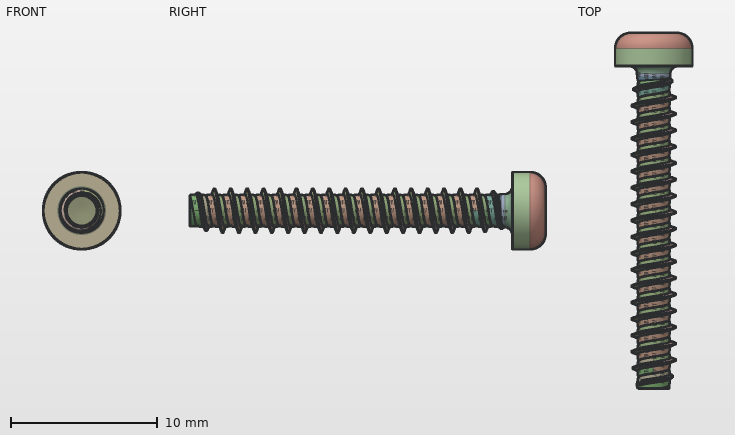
import cadquery as cq
import math

total_length = 24.3
head_diameter = 5.3
head_height = 2.3
crown_radius = 1.1
seat_chamfer = 0.05
shank_radius = 1.15
shank_length = 0.73
neck_fillet = 0.49
core_radius = 1.07
tip_radius = 1.02
tip_chamfer = 0.05
tip_dish_depth = 0.1

crest_radius = 1.5
crest_width = 0.05
blade_root_width = 0.32
foot_radius = 1.13
foot_edge_height = 0.005
foot_head_side = 0.49
foot_tip_side = 0.6
buried_radius = 0.97
thread_length = 20.15
thread_turns = 18
thread_start = -1.0

run_out_end = (-18.5, 1.17)
run_out_begin = (-17.25, crest_radius)
run_in_begin = (-1, crest_radius)
run_in_end = (0.5, 1.2)
crest_path = [run_out_end, run_out_begin, run_in_begin, run_in_end]

head_radius = head_diameter / 2
tip_y = head_height - total_length
pitch = thread_length / thread_turns


def arc_middle(center, radius, x_side, y_side):
    """Point halfway along a quarter circle in the given quadrant."""
    offset = radius * math.sqrt(0.5)
    return (center[0] + x_side * offset, center[1] + y_side * offset)


def turned_body():
    """Domed head, filleted neck and core, turned about the Y axis."""
    crown_center = (head_radius - crown_radius, head_height - crown_radius)
    fillet_center = (shank_radius + neck_fillet, -neck_fillet)
    outline = (
        cq.Workplane("XY")
        .moveTo(0, tip_y)
        .lineTo(core_radius, tip_y)
        .lineTo(core_radius, thread_start)
        .lineTo(shank_radius, -shank_length)
        .lineTo(shank_radius, -neck_fillet)
        .threePointArc(arc_middle(fillet_center, neck_fillet, -1, 1), (fillet_center[0], 0))
        .lineTo(head_radius - seat_chamfer, 0)
        .lineTo(head_radius, seat_chamfer)
        .lineTo(head_radius, crown_center[1])
        .threePointArc(arc_middle(crown_center, crown_radius, 1, 1), (crown_center[0], head_height))
        .lineTo(0, head_height)
        .close()
    )
    return outline.revolve(360, (0, 0, 0), (0, 1, 0))


def helix(first, last, offset):
    """Helix about the Z axis between two (turn, radius) stations, lifted by offset."""
    first_turn, start_radius = first
    last_turn, end_radius = last
    height = (last_turn - first_turn) * pitch
    if start_radius == end_radius:
        wire = cq.Wire.makeHelix(pitch, height, start_radius)
    else:
        taper = math.atan((end_radius - start_radius) / height)
        stretch = 1 / math.cos(taper)
        angle = math.degrees(taper)
        wire = cq.Wire.makeHelix(pitch * stretch, height * stretch, start_radius, angle=angle)
    wire = wire.rotate(cq.Vector(0, 0, 0), cq.Vector(0, 0, 1), 360 * first_turn)
    return wire.translate(cq.Vector(0, 0, thread_start + first_turn * pitch + offset)).Edges()[0]


def thread_edges(first, last):
    """Helical edges of one stretch of thread, from its tip side over the crest to its head side."""
    foot_edge_radius = core_radius + foot_edge_height
    foot_points = [
        (-foot_tip_side, buried_radius),
        (-foot_tip_side, foot_edge_radius),
        (-blade_root_width / 2, foot_radius),
        (blade_root_width / 2, foot_radius),
        (foot_head_side, foot_edge_radius),
        (foot_head_side, buried_radius),
    ]
    edges = [helix((first[0], radius), (last[0], radius), offset) for offset, radius in foot_points]
    crest = [helix(first, last, offset) for offset in (-crest_width / 2, crest_width / 2)]
    middle = len(edges) // 2
    return edges[:middle] + crest + edges[middle:]


def end_cap(points):
    """Flat face closing one end of the thread."""
    return cq.Face.makeFromWires(cq.Wire.makePolygon(points, close=True))


def thread():
    """Thread along the Y axis, its crest rising out of the tip and fading into the neck."""
    stretches = [thread_edges(first, last) for first, last in zip(crest_path, crest_path[1:])]
    faces = [
        end_cap([edge.startPoint() for edge in stretches[0]]),
        end_cap([edge.endPoint() for edge in stretches[-1]]),
    ]
    for edges in stretches:
        for edge, next_edge in zip(edges, edges[1:] + edges[:1]):
            faces.append(cq.Face.makeRuledSurface(edge, next_edge))
    solid = cq.Solid.makeSolid(cq.Shell.makeShell(faces))
    return cq.Workplane(solid.rotate(cq.Vector(0, 0, 0), cq.Vector(1, 0, 0), -90))


def tip_waste():
    """Material removed at the tip: a shallow conical dish, the rim chamfer and the thread's end."""
    chamfer_top = tip_y + tip_chamfer
    outline = (
        cq.Workplane("XY")
        .moveTo(0, tip_y + tip_dish_depth)
        .lineTo(tip_radius, tip_y)
        .lineTo(core_radius, chamfer_top)
        .lineTo(head_radius, chamfer_top)
        .lineTo(head_radius, tip_y - pitch)
        .lineTo(0, tip_y - pitch)
        .close()
    )
    return outline.revolve(360, (0, 0, 0), (0, 1, 0))


result = turned_body().union(thread()).cut(tip_waste())